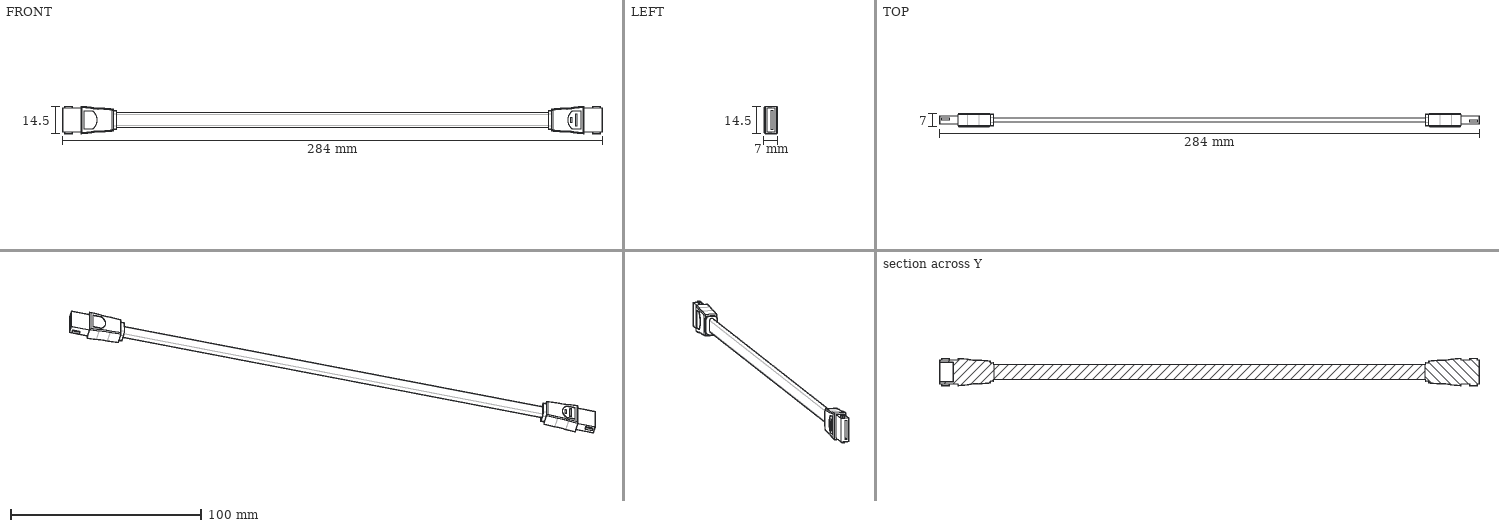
import cadquery as cq

total_length = 284.0
half_length = total_length / 2

plug_length = 9.7
plug_thickness = 4.3
plug_height = 12.8
slot_thickness = 1.0
slot_height = 10.2
slot_depth = 7.0

key_start = 1.0
key_length = 4.0
key_thickness = 1.0

grip_length = 17.0
grip_thickness = 7.0
grip_height = 14.5
grip_rear_height = 11.6
grip_chamfer = 0.5
dip_start = 5.0
dip_length = 6.0
dip_depth = 0.3

thumb_start = 1.7
thumb_straight = 4.5
thumb_bulge = 2.3
thumb_height = 9.5
thumb_depth = 0.3

ridge_width = 0.9
front_ridge_start = 3.7
front_ridge_height = 6.2
rear_ridge_start = 6.2
rear_ridge_height = 2.8

collar_length = 1.7
collar_thickness = 6.2
collar_height = 10.0
collar_radius = 1.7

cable_thickness = 2.3
cable_height = 8.0

plug_tip = -half_length
grip_front = plug_tip + plug_length
grip_rear = grip_front + grip_length
collar_rear = grip_rear + collar_length
cable_length = -2 * collar_rear


def block(start, length, thickness, height):
    """Box that starts at x = start and is centred on the X axis."""
    return cq.Workplane("XY").box(length, thickness, height).translate((start + length / 2, 0, 0))


def make_plug():
    """Flat plug with a contact slot in its tip and a key on each narrow edge."""
    plug = block(plug_tip, plug_length, plug_thickness, plug_height)
    keys = block(plug_tip + key_start, key_length, key_thickness, grip_height)
    keys = keys.translate((0, key_thickness / 2, 0))
    slot = block(plug_tip, slot_depth, slot_thickness, slot_height)
    slot = slot.translate((0, -slot_thickness / 2, 0))
    return plug.union(keys).cut(slot)


def grip_edge_height(distance):
    """Half height of the tapered grip at a distance behind its front."""
    return (grip_height + (grip_rear_height - grip_height) * distance / grip_length) / 2


def make_grip():
    """Tapered grip with a shallow finger dip in its upper and lower edges."""
    dip_end = dip_start + dip_length
    dip_middle = dip_start + dip_length / 2
    dip_bottom = grip_edge_height(dip_middle) - dip_depth
    dip_front_rim = grip_edge_height(dip_start)
    dip_rear_rim = grip_edge_height(dip_end)
    front_edge = grip_edge_height(0)
    rear_edge = grip_edge_height(grip_length)

    def point(distance, height):
        return (grip_front + distance, height)

    grip = (
        cq.Workplane("XZ")
        .moveTo(*point(0, -front_edge))
        .lineTo(*point(0, front_edge))
        .lineTo(*point(dip_start, dip_front_rim))
        .threePointArc(point(dip_middle, dip_bottom), point(dip_end, dip_rear_rim))
        .lineTo(*point(grip_length, rear_edge))
        .lineTo(*point(grip_length, -rear_edge))
        .lineTo(*point(dip_end, -dip_rear_rim))
        .threePointArc(point(dip_middle, -dip_bottom), point(dip_start, -dip_front_rim))
        .close()
        .extrude(grip_thickness / 2, both=True)
    )
    return grip.faces("<Y or >Y").chamfer(grip_chamfer)


def make_thumb_recess():
    """Cutter for the recess in the -Y face: straight in front, bulging towards the cable."""
    front = grip_front + thumb_start
    bulge_start = front + thumb_straight
    return (
        cq.Workplane("XZ", origin=(0, thumb_depth - grip_thickness / 2, 0))
        .moveTo(front, -thumb_height / 2)
        .lineTo(bulge_start, -thumb_height / 2)
        .threePointArc((bulge_start + thumb_bulge, 0), (bulge_start, thumb_height / 2))
        .lineTo(front, thumb_height / 2)
        .close()
        .extrude(thumb_depth)
    )


def make_ridge(start, height):
    """Upright ridge that fills the +Y recess up to the face of the grip."""
    ridge = block(grip_front + start, ridge_width, thumb_depth, height)
    return ridge.translate((0, (grip_thickness - thumb_depth) / 2, 0))


def make_collar():
    """Short strain relief with rounded long edges."""
    collar = block(grip_rear, collar_length, collar_thickness, collar_height)
    return collar.edges("|X").fillet(collar_radius)


def make_connector():
    """Connector at the -X end of the cable."""
    recess = make_thumb_recess()
    connector = make_plug().union(make_grip()).union(make_collar())
    connector = connector.cut(recess).cut(recess.mirror("XZ"))
    connector = connector.union(make_ridge(front_ridge_start, front_ridge_height))
    return connector.union(make_ridge(rear_ridge_start, rear_ridge_height))


def make_cable():
    """Flat cable with fully rounded edges, between the two collars."""
    return (
        cq.Workplane("YZ", origin=(collar_rear, 0, 0))
        .slot2D(cable_height, cable_thickness, 90)
        .extrude(cable_length)
    )


connectors = [make_connector().rotate((0, 0, 0), (0, 0, 1), angle) for angle in (0, 180)]
cable = make_cable()

result = cq.Compound.makeCompound([cable.val(), *[connector.val() for connector in connectors]])